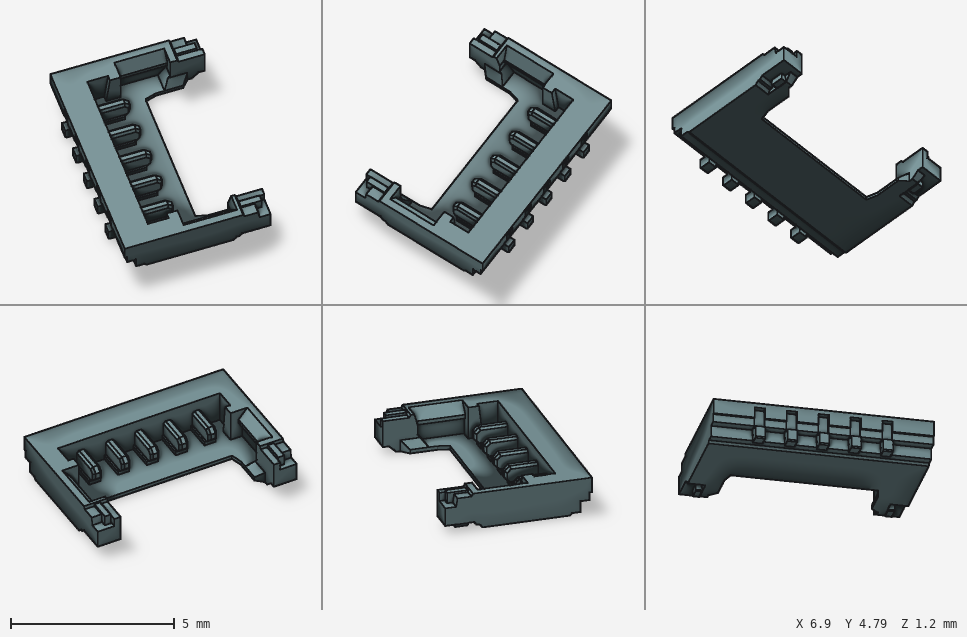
import cadquery as cq

width = 6.9
depth = 4.71
height = 1.2
half_width = width / 2
beyond = 0.14

underside_z = 0.024
floor_z = 0.155
arm_underside_z = 0.24

upper_face_z = 0.71
lip_y = 0.075
foot_recess_y = 0.365
foot_recess_z = 0.455
front_relief_z = 0.1
relief_start_y = 0.635
relief_end_y = 0.71

arm_inner_x = half_width - 0.795
flange_x = half_width - 1.04
mouth_x = half_width - 1.145
step_x = half_width - 0.82
front_pocket_x = half_width - 0.64
lip_x = half_width - 0.545
undercut_x = half_width - 0.415
flare_x = half_width - 0.24

lip_bottom_z = 0.72
lip_top_z = 0.84
pocket_front_y = 0.97
step_front_y = 1.64
step_foot_y = 1.52
step_back_y = 1.99
mouth_y = 2.68
mouth_taper_y = 3.05
ramp_start_y = 3.325
cavity_back_y = 3.595
back_flare_y = 3.71
ramp_top_z = 0.5
flange_top_z = 0.4
flange_corner_y = 3.925
flange_end_y = 4.155

keel_top_x = half_width - 0.49
keel_bottom_x = half_width - 0.55

latch_z = 1.11
latch_shoulder_y = 3.87
latch_ramp_top_y = 3.82
latch_floor_z = 0.835
outer_block_back_y = 4.32
outer_block_foot_y = 4.36
inner_wall_x = half_width - 0.57

tab_outer_x = half_width - 0.34
tab_inner_x = half_width - 0.545
tab_back_y = 4.54
tab_top_z = 1.18
tab_foot_front_y = 3.87
tab_foot_back_y = 4.285
tab_foot_chamfer = 0.035
arm_slope_back_y = 4.52

contact_count = 5
contact_pitch = 1.0
contact_width = 0.305
slot_width = 0.325
contact_front_y = -0.075
contact_foot_top_z = 0.385
contact_foot_back_y = 0.305
contact_foot_chamfer = 0.04
shank_y = 0.105
shank_bottom_z = 0.275
shank_top_z = 1.0
slot_top_z = 1.055
pin_bottom_z = 0.305
pin_top_z = 0.83
pin_tip_y = 2.04
pin_taper_y = 1.88
pin_tip_slope = 0.95
pin_tip_bevel_drop = 0.105
pin_chamfer = 0.075
rib_width = 0.39
rib_front_y = 1.85
rib_top_z = 0.34
rib_chamfer = 0.055


def box(x0, x1, y0, y1, z0, z1):
    return cq.Workplane("XY").box(x1 - x0, y1 - y0, z1 - z0, centered=False).translate((x0, y0, z0))


def side_prism(points, x0, x1):
    """Extrude a (Y, Z) outline from x0 to x1."""
    return cq.Workplane("YZ").polyline(points).close().extrude(x1 - x0).translate((x0, 0, 0))


def front_prism(points, y0, y1):
    """Extrude an (X, Z) outline from y0 to y1."""
    return cq.Workplane("XZ").polyline(points).close().extrude(y0 - y1).translate((0, y0, 0))


def symmetric(points):
    """Complete the right half of an outline with its mirror image about X = 0."""
    return points + [(-x, v) for x, v in reversed(points)]


def both_sides(solid):
    return solid.union(solid.mirror("YZ"))


def housing_block():
    outline = [
        (0, height),
        (0, upper_face_z),
        (lip_y, upper_face_z),
        (lip_y, foot_recess_z),
        (foot_recess_y, foot_recess_z),
        (foot_recess_y, front_relief_z),
        (relief_start_y, front_relief_z),
        (relief_end_y, underside_z),
        (3.51, underside_z),
        (3.615, 0.14),
        (3.7, 0.14),
        (3.795, arm_underside_z),
        (depth, arm_underside_z),
        (depth, latch_z),
        (latch_shoulder_y, latch_z),
        (latch_ramp_top_y, height),
    ]
    block = side_prism(outline, -half_width, half_width)
    keel_outline = [
        (relief_end_y, underside_z),
        (tab_foot_back_y, underside_z),
        (arm_slope_back_y, arm_underside_z),
        (relief_end_y, arm_underside_z),
    ]
    keel_section = symmetric([
        (keel_bottom_x, underside_z),
        (keel_top_x, arm_underside_z),
    ])
    keel = side_prism(keel_outline, -half_width, half_width)
    return block.union(keel.intersect(front_prism(keel_section, 0, depth)))


def cavity():
    front_outline = [
        (pocket_front_y, floor_z),
        (step_foot_y, floor_z),
        (step_front_y, height),
        (pocket_front_y, height),
    ]
    front_pocket = side_prism(front_outline, -front_pocket_x, front_pocket_x)
    neck = box(-step_x, step_x, pocket_front_y, step_back_y, floor_z, height)
    arm_section = symmetric([
        (undercut_x, floor_z),
        (undercut_x, lip_bottom_z),
        (lip_x, lip_bottom_z),
        (lip_x, lip_top_z),
        (flare_x, height),
    ])
    ramp_outline = [
        (ramp_start_y, floor_z),
        (cavity_back_y, floor_z),
        (cavity_back_y, ramp_top_z),
    ]
    ramp = side_prism(ramp_outline, -half_width, half_width)
    rear = front_prism(arm_section, step_back_y, cavity_back_y).cut(ramp)
    return front_pocket.union(neck).union(rear)


def right_back_flare():
    """The back wall of the cavity leans back above the lip on the right arm only."""
    side_outline = [
        (step_back_y, lip_top_z),
        (cavity_back_y, lip_top_z),
        (back_flare_y, height),
        (step_back_y, height),
    ]
    section = [
        (flange_x, lip_top_z),
        (lip_x, lip_top_z),
        (flare_x, height),
        (flange_x, height),
    ]
    lean = side_prism(side_outline, flange_x, half_width)
    return lean.intersect(front_prism(section, step_back_y, depth))


def arm_gap():
    """The space between the arms, with sloping flanges at the foot of each arm."""
    above_flanges = front_prism(
        symmetric([
            (flange_x, floor_z),
            (arm_inner_x, flange_top_z),
            (arm_inner_x, height),
        ]),
        ramp_start_y,
        depth + beyond,
    )
    plan = symmetric([
        (mouth_x, mouth_y),
        (flange_x, mouth_taper_y),
        (flange_x, flange_corner_y),
        (arm_inner_x, flange_end_y),
        (arm_inner_x, depth + beyond),
    ])
    mouth = cq.Workplane("XY").polyline(plan).close().extrude(height)
    return above_flanges.union(mouth)


def latch_cut():
    """Open the top of the right latch end, leaving an outer block and an inner wall."""
    behind_block = [
        (outer_block_foot_y, latch_floor_z),
        (depth + beyond, latch_floor_z),
        (depth + beyond, height),
        (outer_block_back_y, height),
        (outer_block_back_y, latch_z),
    ]
    behind = side_prism(behind_block, inner_wall_x, half_width)
    groove = box(inner_wall_x, tab_outer_x, latch_shoulder_y, depth + beyond, latch_floor_z, height)
    return behind.union(groove)


def hold_down_tab():
    upper = box(tab_inner_x, tab_outer_x, latch_shoulder_y, tab_back_y, latch_floor_z, tab_top_z)
    foot = box(tab_inner_x, tab_outer_x, tab_foot_front_y, tab_foot_back_y, 0, arm_underside_z)
    return upper.union(foot.edges("<Y and <Z").chamfer(tab_foot_chamfer))


def pin_section(inset, bevel_drop):
    """Outline of the pin with bevelled top edges, its top and bottom drawn in by inset."""
    half = contact_width / 2
    top = pin_top_z - inset
    return symmetric([
        (half, pin_bottom_z + inset),
        (half, top - bevel_drop),
        (half - pin_chamfer, top),
    ])


def mating_pin():
    """A bevelled bar whose tip thins at a constant slope, with the tip corners cut off."""
    taper_length = pin_tip_y - pin_taper_y
    taper_drop = pin_tip_slope * taper_length
    envelope_y = pin_taper_y - taper_length
    envelope = (
        cq.Workplane("XZ", origin=(0, envelope_y, 0))
        .polyline(pin_section(-taper_drop, pin_tip_bevel_drop))
        .close()
        .workplane(offset=envelope_y - pin_tip_y)
        .polyline(pin_section(taper_drop, pin_tip_bevel_drop))
        .close()
        .loft(ruled=True)
    )
    section = pin_section(0, pin_chamfer)
    bar = front_prism(section, shank_y, envelope_y)
    tip = front_prism(section, envelope_y, pin_tip_y).intersect(envelope)
    half = contact_width / 2
    plan = box(-half, half, shank_y, pin_tip_y, 0, height)
    plan = plan.edges(">Y and |Z").chamfer(pin_chamfer)
    return bar.union(tip).intersect(plan)


def contact():
    """One contact centred on X = 0: solder foot, upright shank and mating pin."""
    half = contact_width / 2
    foot = box(-half, half, contact_front_y, contact_foot_back_y, 0, contact_foot_top_z)
    foot = foot.edges("<Y and <Z").chamfer(contact_foot_chamfer)
    shank = box(-half, half, shank_y, foot_recess_y, shank_bottom_z, shank_top_z)
    return foot.union(shank).union(mating_pin())


def contact_slot():
    half = slot_width / 2
    return box(-half, half, -beyond, foot_recess_y, underside_z, slot_top_z)


def pin_rib():
    """A low bevelled rib on the floor that carries the pin."""
    half = rib_width / 2
    rib = box(-half, half, pocket_front_y, rib_front_y, floor_z, rib_top_z)
    return rib.edges("|Y and >Z").chamfer(rib_chamfer)


result = housing_block()
result = result.cut(cavity()).cut(right_back_flare()).cut(arm_gap())
result = result.cut(both_sides(latch_cut())).union(both_sides(hold_down_tab()))

for index in range(contact_count):
    offset = ((index - (contact_count - 1) / 2) * contact_pitch, 0, 0)
    result = result.cut(contact_slot().translate(offset))
    result = result.union(pin_rib().translate(offset))
    result = result.union(contact().translate(offset))